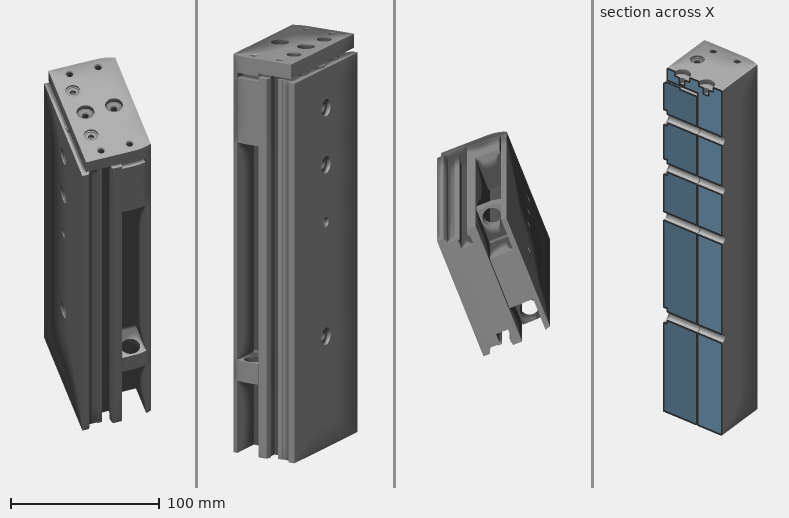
import cadquery as cq
import math

LENGTH = 279.0
SIDES = (-1, 1)
BASE_WIDTH = 85.0
TABLE_WIDTH = 84.3
DEPTH = 49.0
BASE_BACK = 28.0
TABLE_FRONT = 28.5
SIDE_ARC_START = 36.5
SIDE_ARC_INSET = 2.5

BACK_PLATE_THICKNESS = 3.5
BACK_PLATE_INNER = DEPTH - BACK_PLATE_THICKNESS
END_PLATE_FRONT = 2.8
END_PLATE_BOTTOM = 269.0
END_PLATE_STEP_BOTTOM = 267.0
RAIL_WIDTH = 36.3
STOP_BOTTOM = 50.8
STOP_TOP = 65.3
RAIL_FILLET = 2.0
STOP_BORE_DIAMETER = 13.0
STOP_BORE_X = 34.0
STOP_BORE_Y = 36.5

HOLE_ROWS_Y = (15.5, 35.7)
CORNER_HOLE_X = 35.2
THREAD_BOTTOM = 270.5
THREAD_DIAMETER = 4.2
THREAD_MOUTH_DIAMETER = 5.5
PLATE_COUNTERBORE_DIAMETER = 12.0
PLATE_COUNTERBORE_DEPTH = 3.5
ROD_X = 20.5
ROD_Y = 13.0
ROD_RECESS_DIAMETER = 10.0
ROD_RECESS_DEPTH = 1.5
ROD_SEAT_DIAMETER = 8.5
ROD_SEAT_DEPTH = 0.5
ROD_SOCKET_DIAMETER = 4.2
SOCKET_BOTTOM = 274.8

BASE_TOP = 266.2
FLANGE_EDGE = 4.7
FLANGE_BACK = 6.5
LOWER_GROOVE_BACK = 11.5
RIDGE_BACK = 14.8
SLOT_BACK = 20.6
RIDGE_INSET = 3.3
LOWER_GROOVE_INSET = 4.0
SLOT_LIP = 4.5
SLOT_UNDERCUT = 1.5
SLOT_INSET = 11.2
SLOT_CROWN = 0.8
GUIDE_BOTTOM = 218.2
GUIDE_TOP = 263.7
GUIDE_GAP = 0.8
ROD_DIAMETER = 11.0
BUTTON_DIAMETER = 12.0
BUTTON_Y = 7.8
BUTTON_HEIGHT = 1.5
ROD_POCKET_DIAMETER = 20.0
ROD_POCKET_DEPTH = 0.8

MOUNT_HOLE_DIAMETER = 6.7
MOUNT_COUNTERBORE_DIAMETER = 12.0
MOUNT_COUNTERBORE_DEPTH = 2.8
COUNTERBORED_HOLES_Z = (78.0, 198.5, 238.3)
PLAIN_HOLE_Z = 158.2


def box(x_limits, y_limits, z_limits):
    """A box given by its lower and upper limit along each axis."""
    sizes = [high - low for low, high in (x_limits, y_limits, z_limits)]
    corner = (x_limits[0], y_limits[0], z_limits[0])
    return cq.Workplane("XY").box(*sizes, centered=False).translate(corner)


def cylinder_up(x, y, bottom, top, diameter):
    """A cylinder along Z."""
    return cq.Workplane("XY", origin=(x, y, bottom)).circle(diameter / 2).extrude(top - bottom)


def cylinder_back(z, front, back, diameter):
    """A cylinder along Y on the centre plane."""
    profile = cq.Workplane("XZ", origin=(0, front, z)).circle(diameter / 2)
    return profile.extrude(front - back)


def rounded_sides(width, front, back, bottom, top):
    """A block whose sides curve inward behind SIDE_ARC_START."""
    half = width / 2
    arc_depth = DEPTH - SIDE_ARC_START
    radius = (arc_depth**2 + SIDE_ARC_INSET**2) / (2 * SIDE_ARC_INSET)

    def side_x(y):
        return half - radius + math.sqrt(radius**2 - (y - SIDE_ARC_START) ** 2)

    back_x = side_x(back)
    middle_y = (SIDE_ARC_START + back) / 2
    middle_x = side_x(middle_y)
    outline = (
        cq.Workplane("XY", origin=(0, 0, bottom))
        .moveTo(-half, front)
        .lineTo(half, front)
        .lineTo(half, SIDE_ARC_START)
        .threePointArc((middle_x, middle_y), (back_x, back))
        .lineTo(-back_x, back)
        .threePointArc((-middle_x, middle_y), (-half, SIDE_ARC_START))
    )
    return outline.close().extrude(top - bottom)


def thread_cutter(x, y, mouth):
    """A threaded hole with a 45 degree chamfer at its mouth."""
    core_radius = THREAD_DIAMETER / 2
    mouth_radius = THREAD_MOUTH_DIAMETER / 2
    lead = mouth_radius - core_radius
    core = cylinder_up(x, y, THREAD_BOTTOM, mouth, THREAD_DIAMETER)
    cone = cq.Solid.makeCone(core_radius, mouth_radius, lead, pnt=cq.Vector(x, y, mouth - lead))
    return core.union(cq.Workplane(cone))


def cut_mount_holes(body):
    """Drill the row of mounting holes on the centre plane."""
    for z in (*COUNTERBORED_HOLES_Z, PLAIN_HOLE_Z):
        body = body.cut(cylinder_back(z, 0, DEPTH, MOUNT_HOLE_DIAMETER))
    return body


def side_pocket(side, bottom, top):
    """Cutter for the space beside the rail, rounded where the rail meets its neighbours."""
    x_limits = sorted((side * RAIL_WIDTH / 2, side * TABLE_WIDTH))
    pocket = box(x_limits, (0, BACK_PLATE_INNER), (bottom, top))
    rail_side = "<X" if side > 0 else ">X"
    return pocket.faces(rail_side).edges("|Y").fillet(RAIL_FILLET)


def make_table_body():
    """Back plate, centre rail, stop block and end plate before drilling."""
    body = rounded_sides(TABLE_WIDTH, TABLE_FRONT, DEPTH, 0, LENGTH)
    for side in SIDES:
        body = body.cut(side_pocket(side, -RAIL_FILLET, STOP_BOTTOM))
        body = body.cut(side_pocket(side, STOP_TOP, END_PLATE_STEP_BOTTOM))
    end_plate = rounded_sides(TABLE_WIDTH, END_PLATE_FRONT, DEPTH, END_PLATE_BOTTOM, LENGTH)
    return body.union(end_plate)


def cut_end_plate_holes(table):
    """Threaded holes in two rows, the middle one of each row counterbored."""
    counterbore_floor = LENGTH - PLATE_COUNTERBORE_DEPTH
    for y in HOLE_ROWS_Y:
        table = table.cut(cylinder_up(0, y, counterbore_floor, LENGTH, PLATE_COUNTERBORE_DIAMETER))
        table = table.cut(thread_cutter(0, y, counterbore_floor))
        for side in SIDES:
            table = table.cut(thread_cutter(side * CORNER_HOLE_X, y, LENGTH))
    return table


def cut_rod_recesses(table):
    """Stepped recess with a socket above each rod."""
    recess_floor = LENGTH - ROD_RECESS_DEPTH
    seat_floor = recess_floor - ROD_SEAT_DEPTH
    for side in SIDES:
        x = side * ROD_X
        table = table.cut(cylinder_up(x, ROD_Y, recess_floor, LENGTH, ROD_RECESS_DIAMETER))
        table = table.cut(cylinder_up(x, ROD_Y, seat_floor, recess_floor, ROD_SEAT_DIAMETER))
        table = table.cut(cylinder_up(x, ROD_Y, SOCKET_BOTTOM, seat_floor, ROD_SOCKET_DIAMETER))
    return table


def cut_stop_bores(table):
    """Bore through the stop block on each side of the rail."""
    for side in SIDES:
        x = side * STOP_BORE_X
        table = table.cut(cylinder_up(x, STOP_BORE_Y, STOP_BOTTOM, STOP_TOP, STOP_BORE_DIAMETER))
    return table


def make_table():
    table = make_table_body()
    table = cut_end_plate_holes(table)
    table = cut_rod_recesses(table)
    table = cut_stop_bores(table)
    return cut_mount_holes(table)


def make_base_section():
    """The grooved body, drawn as its right half and mirrored."""
    half = BASE_WIDTH / 2
    groove = half - LOWER_GROOVE_INSET
    ridge = half - RIDGE_INSET
    lip = half - SLOT_LIP
    slot = half - SLOT_INSET
    crown_radius = (SLOT_LIP**2 + SLOT_CROWN**2) / (2 * SLOT_CROWN)
    crown_middle_x = half - SLOT_LIP / 2
    crown_middle_y = SLOT_BACK + crown_radius - math.sqrt(crown_radius**2 - (SLOT_LIP / 2) ** 2)
    front_to_slot = [
        (0, 0),
        (half, 0),
        (half, FLANGE_EDGE),
        (groove, FLANGE_BACK),
        (groove, LOWER_GROOVE_BACK),
        (ridge, LOWER_GROOVE_BACK),
        (ridge, RIDGE_BACK),
        (lip, RIDGE_BACK),
        (lip, RIDGE_BACK - SLOT_UNDERCUT),
        (slot, RIDGE_BACK - SLOT_UNDERCUT),
        (slot, SLOT_BACK + SLOT_UNDERCUT),
        (lip, SLOT_BACK + SLOT_UNDERCUT),
        (lip, SLOT_BACK),
    ]
    right_half = (
        cq.Workplane("XY")
        .polyline(front_to_slot)
        .threePointArc((crown_middle_x, crown_middle_y), (half, SLOT_BACK + SLOT_CROWN))
        .lineTo(half, BASE_BACK)
        .lineTo(0, BASE_BACK)
        .close()
        .extrude(BASE_TOP)
    )
    return right_half.union(right_half.mirror("YZ"))


def make_guides():
    """The two guide blocks, one on each side of the rail."""
    front = (SLOT_BACK + BASE_BACK) / 2
    back = BACK_PLATE_INNER - GUIDE_GAP
    channel = RAIL_WIDTH / 2 + GUIDE_GAP
    guides = rounded_sides(BASE_WIDTH, front, back, GUIDE_BOTTOM, GUIDE_TOP)
    return guides.cut(box((-channel, channel), (BASE_BACK, DEPTH), (GUIDE_BOTTOM, GUIDE_TOP)))


def add_rods(base):
    """A rod on each side, standing in a shallow round pocket and reaching the end plate."""
    pocket_floor = BASE_TOP - ROD_POCKET_DEPTH
    for side in SIDES:
        x = side * ROD_X
        base = base.cut(cylinder_up(x, ROD_Y, pocket_floor, BASE_TOP, ROD_POCKET_DIAMETER))
        base = base.union(cylinder_up(x, ROD_Y, pocket_floor, END_PLATE_BOTTOM, ROD_DIAMETER))
    return base


def make_base():
    base = make_base_section().union(make_guides())
    base = add_rods(base)
    base = base.union(cylinder_up(0, BUTTON_Y, BASE_TOP, BASE_TOP + BUTTON_HEIGHT, BUTTON_DIAMETER))
    base = cut_mount_holes(base)
    for z in COUNTERBORED_HOLES_Z:
        base = base.cut(cylinder_back(z, 0, MOUNT_COUNTERBORE_DEPTH, MOUNT_COUNTERBORE_DIAMETER))
    return base


table = make_table()
base = make_base()
result = cq.Compound.makeCompound([table.solids().val(), base.solids().val()])